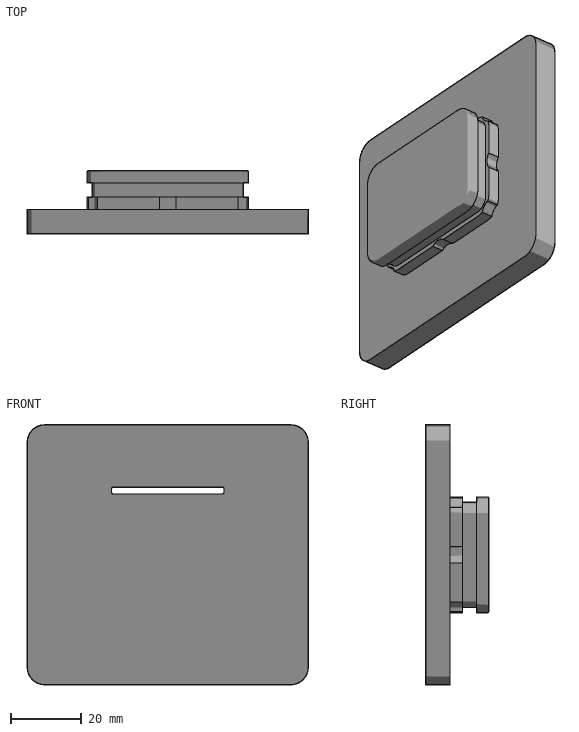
import cadquery as cq

PLATE_WIDTH = 80.0
PLATE_HEIGHT = 74.0
PLATE_THICKNESS = 7.0
PLATE_CORNER_RADIUS = 5.0

SLOT_LENGTH = 32.0
SLOT_HEIGHT = 1.9
SLOT_CORNER_RADIUS = .5
SLOT_CENTER_Z = 18.25

FLANGE_WIDTH = 46.0
FLANGE_HEIGHT = 33.0
FLANGE_CORNER_RADIUS = 5.0
FLANGE_THICKNESS = 3.5
NECK_LENGTH = 4.0
NECK_INSET = 1.5
END_ROUNDING = 0.5

NOTCH_RADIUS = 3.75
SIDE_NOTCH_OUTSET = 2.9
CORNER_NOTCH_OUTSET = 0.6

BASE_START = PLATE_THICKNESS
NECK_START = BASE_START + FLANGE_THICKNESS
END_START = NECK_START + NECK_LENGTH


def workplane_at(y):
    """XZ workplane at the given Y whose positive extrusion runs toward +Y (local x is -X)."""
    return cq.Workplane("XZ", origin=(0, y, 0)).transformed(rotate=(0, 180, 0))


def rounded_block(width, height, corner_radius, y_start, thickness):
    """Rectangular block centered on the Y axis, with rounded corners."""
    block = workplane_at(y_start).rect(width, height).extrude(thickness)
    return block.edges("|Y").fillet(corner_radius)


def make_plate():
    plate = rounded_block(PLATE_WIDTH, PLATE_HEIGHT, PLATE_CORNER_RADIUS, 0, PLATE_THICKNESS)
    slot = rounded_block(SLOT_LENGTH, SLOT_HEIGHT, SLOT_CORNER_RADIUS, 0, PLATE_THICKNESS)
    slot = slot.translate((0, 0, SLOT_CENTER_Z))
    return plate.cut(slot)


def make_base_flange():
    flange = rounded_block(
        FLANGE_WIDTH, FLANGE_HEIGHT, FLANGE_CORNER_RADIUS, BASE_START, FLANGE_THICKNESS
    )
    half_width = FLANGE_WIDTH / 2
    half_height = FLANGE_HEIGHT / 2
    notch_centers = []
    for side in (-1, 1):
        notch_centers.append((side * (half_width + SIDE_NOTCH_OUTSET), 0))
        notch_centers.append((0, side * (half_height + SIDE_NOTCH_OUTSET)))
        for end in (-1, 1):
            corner_x = side * (half_width + CORNER_NOTCH_OUTSET)
            corner_z = end * (half_height + CORNER_NOTCH_OUTSET)
            notch_centers.append((corner_x, corner_z))
    notches = (
        workplane_at(BASE_START)
        .pushPoints(notch_centers)
        .circle(NOTCH_RADIUS)
        .extrude(FLANGE_THICKNESS)
    )
    return flange.cut(notches)


def make_neck():
    return rounded_block(
        FLANGE_WIDTH - 2 * NECK_INSET,
        FLANGE_HEIGHT - 2 * NECK_INSET,
        FLANGE_CORNER_RADIUS - NECK_INSET,
        NECK_START,
        NECK_LENGTH,
    )


def make_end_flange():
    flange = rounded_block(
        FLANGE_WIDTH, FLANGE_HEIGHT, FLANGE_CORNER_RADIUS, END_START, FLANGE_THICKNESS
    )
    return flange.faces(">Y").edges().fillet(END_ROUNDING)


result = make_plate().union(make_base_flange()).union(make_neck()).union(make_end_flange())